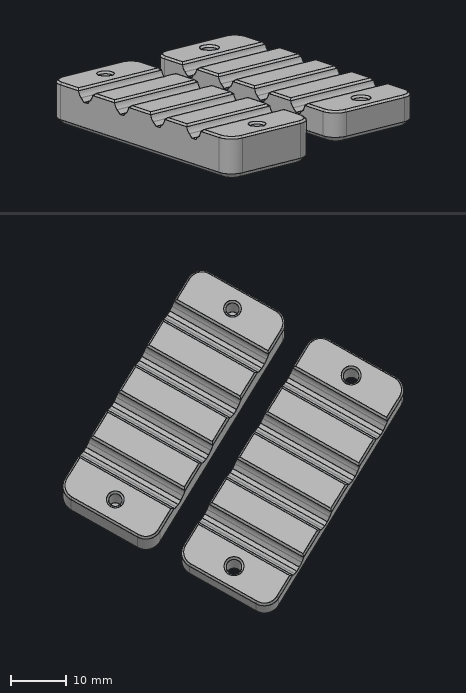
import cadquery as cq
import math

length = 50.0
width = 20.0
body_gap = 5.0
center_y = (width + body_gap) / 2
total_height = 9.0

corner_radius = 3.0
top_chamfer = 0.4
bottom_chamfer = 1.0
base_height = 8.0
cover_height = 6.0

groove_count = 4
groove_pitch = 10.0
groove_radius = 2.0
groove_chamfer = 0.4
groove_depth = 2.25
flank_x = 1.25
floor_x = 0.45
arc_mid_angle = 30.0
groove_positions = [(i - (groove_count - 1) / 2) * groove_pitch for i in range(groove_count)]

hole_end_distance = 4.0
hole_x = length / 2 - hole_end_distance
hole_chamfer = 0.4
pilot_diameter = 2.4
pilot_depth = 6.0
clearance_diameter = 2.8

pad_height = total_height - base_height
large_pad_diameter = 7.9
large_pad_x = -15.0
small_pad_diameter = 5.4
small_pad_x = 14.65
block_pad_depth = 9.2
block_pad_y = 0.6
block_pads = [(-4.5, 7.7), (5.6, 8.8)]


def grooved_block(height):
    """Rounded block with chamfered rims and grooves; its top face lies at z = 0."""
    block = cq.Workplane("XY").box(length, width, height, centered=(True, True, False))
    block = block.translate((0, 0, -height)).edges("|Z").fillet(corner_radius)
    block = block.faces(">Z").edges().chamfer(top_chamfer)
    block = block.faces("<Z").edges().chamfer(bottom_chamfer)
    for x in groove_positions:
        block = block.cut(groove_cutter().translate((x, 0, 0)))
    return block


def groove_cutter():
    """Trough along Y with a chamfered mouth, round sides, sloping flanks and a flat floor."""
    mouth = groove_radius + groove_chamfer
    rim_x = math.sqrt(groove_radius**2 - groove_chamfer**2)
    flank_z = -math.sqrt(groove_radius**2 - flank_x**2)
    arc_x = groove_radius * math.cos(math.radians(arc_mid_angle))
    arc_z = -groove_radius * math.sin(math.radians(arc_mid_angle))
    return (
        cq.Workplane("XZ")
        .moveTo(-mouth, 0)
        .lineTo(-rim_x, -groove_chamfer)
        .threePointArc((-arc_x, arc_z), (-flank_x, flank_z))
        .lineTo(-floor_x, -groove_depth)
        .lineTo(floor_x, -groove_depth)
        .lineTo(flank_x, flank_z)
        .threePointArc((arc_x, arc_z), (rim_x, -groove_chamfer))
        .lineTo(mouth, 0)
        .close()
        .extrude(width / 2, both=True)
    )


def screw_hole_cutter(diameter, depth):
    """Two round holes sunk from z = 0, each with a chamfered mouth."""
    centers = [(-hole_x, 0), (hole_x, 0)]
    holes = cq.Workplane("XY").pushPoints(centers).circle(diameter / 2).extrude(-depth)
    for x, y in centers:
        mouth_center = cq.Vector(x, y, 0)
        mouth_radius = diameter / 2 + hole_chamfer
        mouth = cq.Solid.makeCone(mouth_radius, diameter / 2, hole_chamfer, mouth_center, cq.Vector(0, 0, -1))
        holes = holes.union(cq.Workplane(mouth))
    return holes


def raised_pads():
    """Two round and two rectangular pads standing down from the underside of the base."""
    underside = cq.Workplane("XY").workplane(offset=-base_height)
    pads = underside.center(large_pad_x, 0).circle(large_pad_diameter / 2).extrude(-pad_height)
    small = underside.center(small_pad_x, 0).circle(small_pad_diameter / 2).extrude(-pad_height)
    pads = pads.union(small)
    for x, pad_width in block_pads:
        block = underside.center(x, block_pad_y).rect(pad_width, block_pad_depth).extrude(-pad_height)
        pads = pads.union(block)
    return pads


def make_base():
    """Thicker half with blind pilot holes and raised pads underneath."""
    base = grooved_block(base_height).cut(screw_hole_cutter(pilot_diameter, pilot_depth))
    return base.union(raised_pads()).translate((0, -center_y, total_height)).solids()


def make_cover():
    """Thinner half with screw clearance holes right through it."""
    cover = grooved_block(cover_height).cut(screw_hole_cutter(clearance_diameter, cover_height))
    return cover.translate((0, center_y, total_height)).solids()


base = make_base()
cover = make_cover()

result = cq.Compound.makeCompound([base.val(), cover.val()])